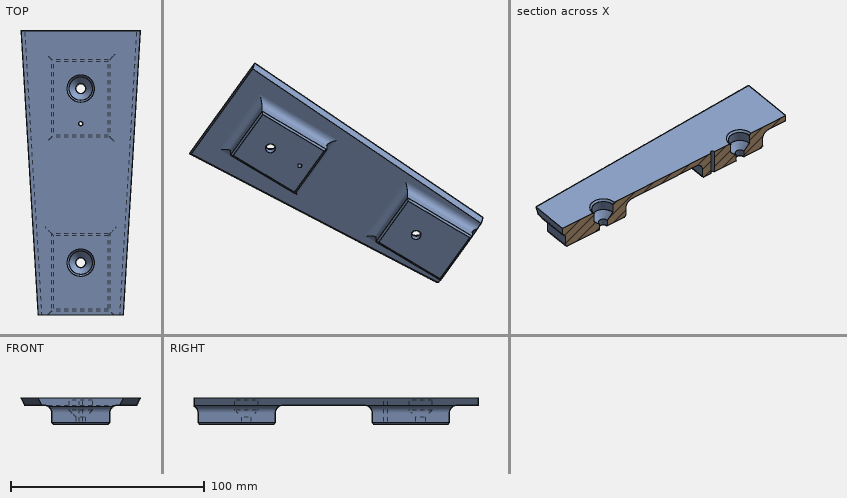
import cadquery as cq

length = 147.0
plate_thickness = 3.8
top_back_width = 61.7
top_front_width = 44.1
side_inset = 1.9

total_height = 13.8
pad_width = 30.0
pad_length = 40.0
pad_spacing = 90.0
front_pad_setback = 2.0
pad_fillet = 4.0
pad_chamfer = 1.0
clearance = 0.1

screw_offset = 5.0
screw_diameter = 5.0
head_diameter = 12.0
mouth_chamfer = 1.0
head_depth = 6.3
pilot_diameter = 2.0
pilot_y = 25.5

front_y = -length / 2
back_y = length / 2
front_pad_y = front_y + front_pad_setback + pad_length / 2
pad_centres = [front_pad_y, front_pad_y + pad_spacing]


def trapezoid(front_width, back_width):
    """Corners of a plate face, symmetric about the Y axis."""
    return [
        (-front_width / 2, front_y),
        (front_width / 2, front_y),
        (back_width / 2, back_y),
        (-back_width / 2, back_y),
    ]


def make_plate():
    """Plate whose long sides lean inward toward the underside."""
    return (
        cq.Workplane("XY")
        .workplane(offset=-plate_thickness)
        .polyline(trapezoid(top_front_width - 2 * side_inset, top_back_width - 2 * side_inset)).close()
        .workplane(offset=plate_thickness)
        .polyline(trapezoid(top_front_width, top_back_width)).close()
        .loft(ruled=True)
    )


def make_pad(center_y):
    """Pad with a chamfered foot and a fillet flaring into a base slab inside the plate."""
    slab_thickness = plate_thickness / 2
    slab_margin = pad_fillet + clearance
    slab = (
        cq.Workplane("XY", origin=(0, center_y, -plate_thickness))
        .rect(pad_width + 2 * slab_margin, pad_length + 2 * slab_margin)
        .extrude(slab_thickness)
    )
    block = (
        cq.Workplane("XY", origin=(0, center_y, -total_height))
        .rect(pad_width, pad_length)
        .extrude(total_height - plate_thickness + slab_thickness)
        .faces("<Z").chamfer(pad_chamfer)
    )
    root_edges = cq.selectors.BoxSelector(
        (-pad_width / 2 - clearance, center_y - pad_length / 2 - clearance, -plate_thickness - clearance),
        (pad_width / 2 + clearance, center_y + pad_length / 2 + clearance, -plate_thickness + clearance),
    )
    return slab.union(block).edges(root_edges).fillet(pad_fillet)


def make_screw_cutter(center_y):
    """Chamfered mouth, straight head bore, 45 degree seat and through hole."""
    head_radius = head_diameter / 2
    screw_radius = screw_diameter / 2
    mouth_radius = head_radius + mouth_chamfer
    seat_depth = head_depth + head_radius - screw_radius
    profile = [
        (0, 0),
        (mouth_radius, 0),
        (head_radius, -mouth_chamfer),
        (head_radius, -head_depth),
        (screw_radius, -seat_depth),
        (screw_radius, -total_height),
        (0, -total_height),
    ]
    return (
        cq.Workplane("XZ", origin=(0, center_y, 0))
        .polyline(profile).close()
        .revolve(360, (0, 0, 0), (0, 1, 0))
    )


result = make_plate()
for pad_y in pad_centres:
    result = result.union(make_pad(pad_y))

envelope = cq.Workplane("XY").box(top_back_width, length, 2 * total_height)
result = result.intersect(envelope)

for pad_y in pad_centres:
    result = result.cut(make_screw_cutter(pad_y + screw_offset))

pilot_cutter = (
    cq.Workplane("XY", origin=(0, pilot_y, -total_height))
    .circle(pilot_diameter / 2)
    .extrude(total_height)
)
result = result.cut(pilot_cutter)